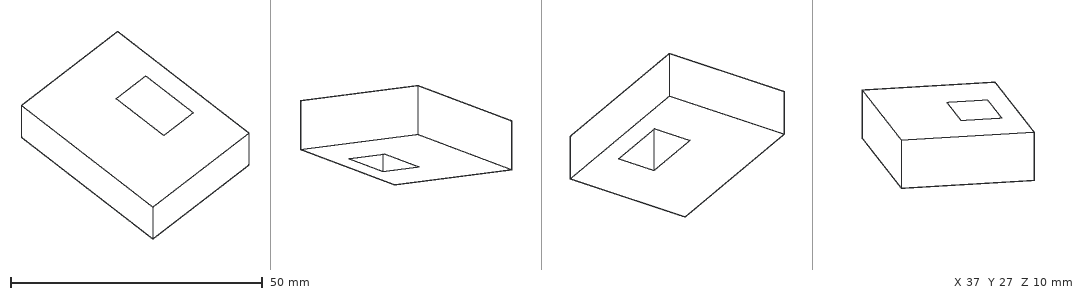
import cadquery as cq

length = 37.0
width = 27.0
height = 10.0

pocket_length = 13.4
pocket_width = 8.3
skin_thickness = 0.08
left_wall = 12.02
back_wall = 4.1

pocket_depth = height - skin_thickness
pocket_x = -length / 2 + left_wall + pocket_length / 2
pocket_y = width / 2 - back_wall - pocket_width / 2


def make_pocket():
    """Solid that fills the pocket, rising from the bottom face."""
    return (
        cq.Workplane("XY", origin=(pocket_x, pocket_y, -height / 2))
        .rect(pocket_length, pocket_width)
        .extrude(pocket_depth)
    )


block = cq.Workplane("XY").box(length, width, height)
result = block.cut(make_pocket())